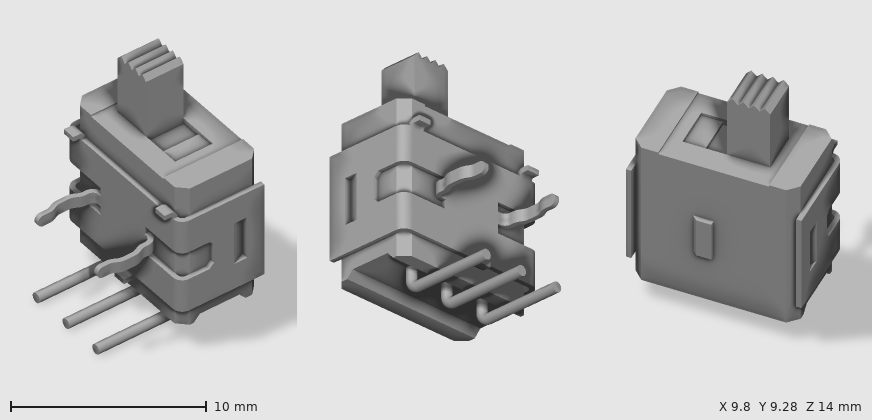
import cadquery as cq
import math


housing_width = 9.2
housing_depth = 5.08
housing_height = 9.1
corner_chamfer = 0.56
top_step_depth = 0.1
top_step_width = 6.18
foot_height = 0.42
foot_recess_back = 1.18
foot_recess_front = -1.34
foot_slope_run = 0.4
rear_lug_length = 1.15
rear_lug_depth = 0.3
rear_lug_height = 2.4

slider_size = 2.4
slider_left = -2.55
slider_y = -0.035
slider_top = 12.92
ridge_count = 4
ridge_height = 0.3
pocket_right = 2.35
pocket_step_x = 1.14
pocket_step_depth = 0.2

sheet = 0.3
bracket_bottom = 1.3
bracket_height = 6.0
bracket_corner_radius = 0.6
window_height = 1.8
window_inner_x = 1.88
window_back_y = -0.67
window_chamfer = 0.28
latch_front_y = -0.25
latch_width = 1.7
latch_height = 2.7
latch_undercut = 0.1
tab_width = 0.8
tab_reach = 0.52
tab_inner_radius = 0.15
top_tab_x = 3.9
bottom_tab_x = 0.42

leg_height = 0.7
leg_bend_radius = 0.5
leg_root_radius = 0.8
leg_crest_radius = 0.9
leg_bulge = 0.26
leg_bulge_start = -3.36
leg_crest_length = 0.54

pin_diameter = 0.6
pin_pitch = 2.54
pin_y = -1.02
pin_axis_z = -0.78
pin_bend_radius = 0.5
pin_insertion = 1.0
reach_from_bracket = 3.6

front_y = -housing_depth / 2
back_y = housing_depth / 2
half_width = housing_width / 2
bracket_front_y = front_y - sheet
bracket_half_width = half_width + sheet
bracket_top = bracket_bottom + bracket_height
bracket_mid_z = bracket_bottom + bracket_height / 2
tip_y = bracket_front_y - reach_from_bracket
top_step_z = housing_height - top_step_depth
pocket_shelf_z = top_step_z - pocket_step_depth
pocket_floor_z = pocket_shelf_z - pocket_step_depth
leg_x = pin_pitch
latch_foot_x = half_width - latch_undercut
pin_top_z = foot_height + pin_insertion
sides = (-1, 1)


def box(x0, x1, y0, y1, z0, z1):
    """Block between the given limits."""
    return cq.Workplane("XY").box(x1 - x0, y1 - y0, z1 - z0, centered=False).translate((x0, y0, z0))


def make_slider():
    """Square knob with a row of triangular ridges across its top."""
    pitch = slider_size / ridge_count
    valley_z = slider_top - ridge_height
    outline = cq.Workplane("XZ").moveTo(slider_left, pocket_floor_z).lineTo(slider_left, valley_z)
    for i in range(ridge_count):
        start = slider_left + i * pitch
        outline = outline.lineTo(start + pitch / 2, slider_top).lineTo(start + pitch, valley_z)
    outline = outline.lineTo(slider_left + slider_size, pocket_floor_z).close()
    return outline.extrude(slider_size / 2, both=True).translate((0, slider_y, 0))


def make_pin(x):
    """Round pin that leaves the housing downward and bends toward -Y."""
    path = (
        cq.Workplane("YZ", origin=(x, 0, 0))
        .moveTo(pin_y, pin_top_z)
        .lineTo(pin_y, pin_axis_z + pin_bend_radius)
        .tangentArcPoint((pin_y - pin_bend_radius, pin_axis_z), relative=False)
        .lineTo(tip_y, pin_axis_z)
    )
    section = cq.Workplane("XY", origin=(x, pin_y, pin_top_z)).circle(pin_diameter / 2)
    return section.sweep(path)


def sheet_channel(outer_half_width, outer_front, radius):
    """Solid block with rounded front corners, as tall as the bracket."""
    block = box(-outer_half_width, outer_half_width, outer_front, back_y, bracket_bottom, bracket_top)
    return block.edges("|Z and <Y").fillet(radius)


def corner_window(side):
    """Cutter for the window that wraps a front corner, with chamfered rear corners."""
    window = box(
        window_inner_x, bracket_half_width, bracket_front_y, window_back_y,
        bracket_mid_z - window_height / 2, bracket_mid_z + window_height / 2,
    ).edges("|X and >Y").chamfer(window_chamfer)
    return window if side > 0 else window.mirror("YZ")


def latch_window(side):
    """Cutter for the window in a side plate that the housing latch snaps into."""
    x0, x1 = sorted((side * half_width, side * bracket_half_width))
    return box(
        x0, x1, latch_front_y, latch_front_y + latch_width,
        bracket_mid_z - latch_height / 2, bracket_mid_z + latch_height / 2,
    )


def edge_tab(x, direction):
    """Small tab curled outward from the top (+1) or bottom (-1) edge of the front plate."""
    outer_radius = tab_inner_radius + sheet
    edge_offset = bracket_height / 2
    axis_y = bracket_front_y - tab_inner_radius
    end_y = bracket_front_y - tab_reach
    tab = (
        cq.Workplane("YZ")
        .moveTo(front_y, edge_offset)
        .radiusArc((axis_y, edge_offset + outer_radius), -outer_radius)
        .lineTo(end_y, edge_offset + outer_radius)
        .lineTo(end_y, edge_offset + tab_inner_radius)
        .lineTo(axis_y, edge_offset + tab_inner_radius)
        .radiusArc((bracket_front_y, edge_offset), tab_inner_radius)
        .close()
        .extrude(tab_width / 2, both=True)
    )
    if direction < 0:
        tab = tab.mirror("XY")
    return tab.translate((x, 0, bracket_mid_z))


def mounting_leg(side):
    """Strip bent out of the front plate, bulged outward midway and rounded at the tip."""
    plate_y = (front_y + bracket_front_y) / 2
    bend_x = leg_x - leg_bend_radius
    crest_x = leg_x + leg_bulge
    slope = math.acos(1 - leg_bulge / (leg_root_radius + leg_crest_radius))
    turn_x = leg_x + leg_root_radius * (1 - math.cos(slope))
    turn_y = leg_bulge_start - leg_root_radius * math.sin(slope)
    crest_start = turn_y - leg_crest_radius * math.sin(slope)
    crest_end = crest_start - leg_crest_length
    mirror_sum = crest_start + crest_end
    tip_center_y = tip_y + leg_height / 2

    path = (
        cq.Workplane("XY", origin=(0, 0, bracket_mid_z))
        .moveTo(window_inner_x, plate_y)
        .lineTo(bend_x, plate_y)
        .tangentArcPoint((leg_x, plate_y - leg_bend_radius), relative=False)
        .lineTo(leg_x, leg_bulge_start)
        .tangentArcPoint((turn_x, turn_y), relative=False)
        .tangentArcPoint((crest_x, crest_start), relative=False)
        .lineTo(crest_x, crest_end)
        .tangentArcPoint((turn_x, mirror_sum - turn_y), relative=False)
        .tangentArcPoint((leg_x, mirror_sum - leg_bulge_start), relative=False)
        .lineTo(leg_x, tip_center_y)
    )
    section = cq.Workplane("YZ", origin=(window_inner_x, plate_y, bracket_mid_z)).rect(sheet, leg_height)
    tip = (
        cq.Workplane("YZ", origin=(leg_x, tip_center_y, bracket_mid_z))
        .circle(leg_height / 2)
        .extrude(sheet / 2, both=True)
    )
    leg = section.sweep(path).union(tip)
    return leg if side > 0 else leg.mirror("YZ")


def make_bracket():
    """U-shaped sheet around the housing with windows, tabs and two mounting legs."""
    bracket = sheet_channel(bracket_half_width, bracket_front_y, bracket_corner_radius)
    bracket = bracket.cut(sheet_channel(half_width, front_y, bracket_corner_radius - sheet))
    for side in sides:
        bracket = bracket.cut(corner_window(side)).cut(latch_window(side))
        bracket = bracket.union(edge_tab(side * top_tab_x, 1)).union(mounting_leg(side))
    return bracket.union(edge_tab(bottom_tab_x, -1))


def foot_recess():
    """Cutter for the sloped-sided channel under the housing, running along X."""
    return (
        cq.Workplane("YZ")
        .moveTo(foot_recess_back + foot_slope_run, 0)
        .lineTo(foot_recess_back, foot_height)
        .lineTo(foot_recess_front, foot_height)
        .lineTo(foot_recess_front - foot_slope_run, 0)
        .close()
        .extrude(half_width, both=True)
    )


def slider_pocket():
    """Cutter for the slider pocket, which is shallower at its right end."""
    y0 = slider_y - slider_size / 2
    y1 = slider_y + slider_size / 2
    shallow = box(slider_left, pocket_right, y0, y1, pocket_shelf_z, housing_height)
    deep = box(slider_left, pocket_step_x, y0, y1, pocket_floor_z, housing_height)
    return shallow.union(deep)


def latch_seat(side):
    """Cutter for the shallow recess behind the latch ramp."""
    x0, x1 = sorted((side * latch_foot_x, side * half_width))
    return box(
        x0, x1, latch_front_y, latch_front_y + latch_width,
        bracket_mid_z - latch_height / 2, bracket_mid_z + latch_height / 2,
    )


def latch(side):
    """Wedge that fills the side window of the bracket and ramps inward over its rear half."""
    return (
        cq.Workplane("XY", origin=(0, 0, bracket_mid_z))
        .moveTo(side * latch_foot_x, latch_front_y)
        .lineTo(side * bracket_half_width, latch_front_y)
        .lineTo(side * bracket_half_width, latch_front_y + latch_width / 2)
        .lineTo(side * latch_foot_x, latch_front_y + latch_width)
        .close()
        .extrude(latch_height / 2, both=True)
    )


def rear_lug():
    """Lug on the back face with one sloped end."""
    return (
        cq.Workplane("XY", origin=(0, back_y, bracket_mid_z))
        .lineTo(rear_lug_length, 0)
        .lineTo(rear_lug_length - rear_lug_depth, rear_lug_depth)
        .lineTo(0, rear_lug_depth)
        .close()
        .extrude(rear_lug_height / 2, both=True)
    )


def make_housing(pins):
    """Chamfered block with its latches, lug, recesses and pin holes."""
    housing = box(-half_width, half_width, front_y, back_y, 0, housing_height)
    housing = housing.edges("|Z").chamfer(corner_chamfer)
    half_step = top_step_width / 2
    housing = housing.cut(box(-half_step, half_step, front_y, back_y, top_step_z, housing_height))
    housing = housing.cut(foot_recess()).cut(slider_pocket())
    for side in sides:
        housing = housing.cut(latch_seat(side)).union(latch(side))
    housing = housing.union(rear_lug())
    for pin in pins:
        housing = housing.cut(pin)
    return housing


slider = make_slider()
pins = [make_pin(i * pin_pitch) for i in (-1, 0, 1)]
bracket = make_bracket()
housing = make_housing(pins)

result = cq.Compound.makeCompound(
    [housing.val(), bracket.val(), slider.val(), *[pin.val() for pin in pins]]
)